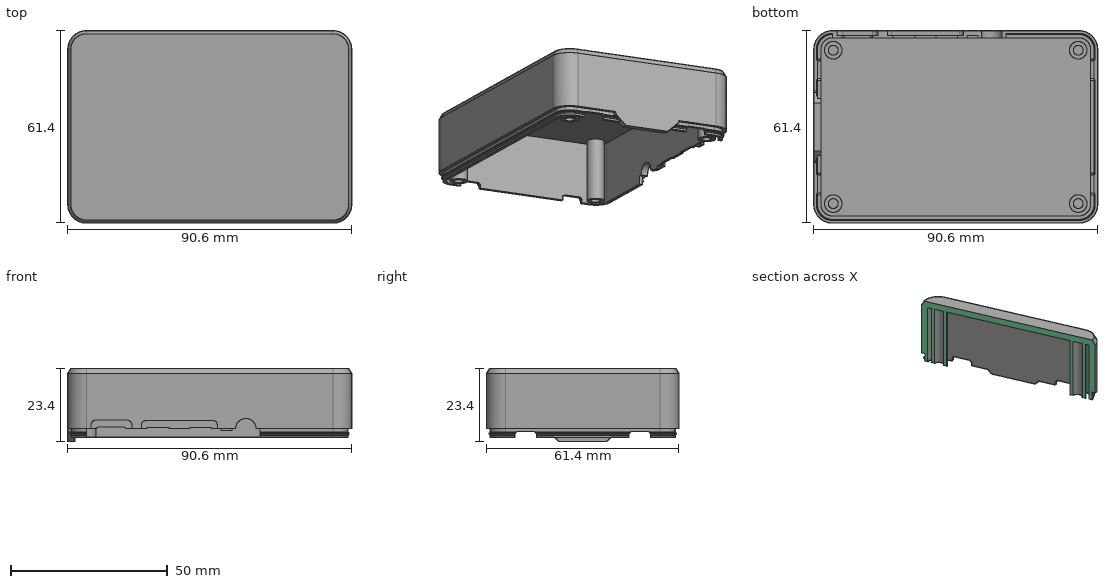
import cadquery as cq
length = 90.6
width = 61.4
height = 23.35

corner_radius = 6.0
top_chamfer_height = 1.65
top_chamfer_inset = 1.0
wall = 2.3
skirt_bottom = 4.1

lip_inset = 1.2
lip_bottom = 1.35
bead_height = 1.0
bead_crest = 0.3
bead_projection = 0.35
bead_middle = 2.5

lip_gap_start = corner_radius - length / 2
lip_gap_end = 15.95

notch_center_y = 18.2
notch_width = 6.9
notch_top = 3.15
notch_chamfer = 0.65

flap_top_half_width = 11.5
flap_shoulder_half_width = 10.9
flap_shoulder_z = 3.0
flap_tip_half_width = 7.6

recess_depth = 1.5
front_recesses = [
    (-37.9, -24.8, 6.9, 1.8),
    (-21.75, 2.4, 6.65, 1.25),
]

web_notches = [
    (-36.2, -26.6, 0.6, 0.65),
    (-19.95, -13.0, 0.33, 0.0),
    (-6.3, 0.6, 0.33, 0.0),
]

round_opening_x = 11.5
round_opening_radius = 3.25
tab_start = 3.55
tab_end = 7.1
tab_drop = 0.65

boss_diameter = 5.6
screw_hole_diameter = 3.15
boss_inset = 6.25

front = -width / 2
left = -length / 2
ceiling = height - wall


def rounded_block(inset, radius, bottom, top):
    """Upright block inset from the outer outline, with rounded corners."""
    block = cq.Workplane("XY").workplane(offset=bottom)
    block = block.rect(length - 2 * inset, width - 2 * inset).extrude(top - bottom)
    return block.edges("|Z").fillet(radius)


def box_between(x_range, y_range, z_range):
    """Plain box spanning the given coordinate ranges."""
    sizes = [end - start for start, end in (x_range, y_range, z_range)]
    corner = (x_range[0], y_range[0], z_range[0])
    return cq.Workplane("XY").box(*sizes, centered=False).translate(corner)


def along_y(points, start, depth):
    """Prism of an XZ outline, running from y = start toward +Y."""
    outline = cq.Workplane("XZ", origin=(0, start, 0)).polyline(points).close()
    return outline.extrude(-depth)


def make_skirt():
    skirt = rounded_block(0, corner_radius, skirt_bottom, height)
    return skirt.faces(">Z").chamfer(top_chamfer_height, top_chamfer_inset)


def make_bead():
    """Tapered ridge: two tapered halves meeting at a flat crest."""
    half_height = bead_height / 2
    bead_flank_height = (bead_height - bead_crest) / 2
    tip_inset = lip_inset - bead_projection
    ridge = rounded_block(tip_inset, corner_radius - tip_inset,
                          bead_middle - half_height, bead_middle + half_height)
    return ridge.faces("<Z or >Z").chamfer(bead_flank_height, bead_projection)


def make_lip():
    lip = rounded_block(lip_inset, corner_radius - lip_inset, lip_bottom, skirt_bottom)
    lip = lip.union(make_bead())
    gap = box_between((lip_gap_start, lip_gap_end), (front, front + wall), (0, skirt_bottom))
    lip = lip.cut(gap)
    for side in (-1, 1):
        lip = lip.cut(end_notch(side * notch_center_y))
    return lip


def end_notch(center_y):
    """Notch running along X through the lips of both end walls."""
    half_width = notch_width / 2
    points = [
        (center_y - half_width, 0),
        (center_y - half_width, notch_top - notch_chamfer),
        (center_y - half_width + notch_chamfer, notch_top),
        (center_y + half_width - notch_chamfer, notch_top),
        (center_y + half_width, notch_top - notch_chamfer),
        (center_y + half_width, 0),
    ]
    return cq.Workplane("YZ", origin=(left, 0, 0)).polyline(points).close().extrude(length)


def make_flap():
    points = [
        (-flap_top_half_width, skirt_bottom),
        (-flap_shoulder_half_width, flap_shoulder_z),
        (-flap_tip_half_width, 0),
        (flap_tip_half_width, 0),
        (flap_shoulder_half_width, flap_shoulder_z),
        (flap_top_half_width, skirt_bottom),
    ]
    return cq.Workplane("YZ", origin=(left, 0, 0)).polyline(points).close().extrude(wall)


def front_recess(start, end, top, radius):
    """Recess in the outer side of the front wall, rounded at its two upper corners."""
    recess = box_between((start, end), (front, front + recess_depth), (0, top))
    return recess.edges("|Y and >Z").fillet(radius)


def round_opening():
    circle = cq.Workplane("XZ", origin=(round_opening_x, front, skirt_bottom))
    return circle.circle(round_opening_radius).extrude(-wall)


def edge_notch(start, end, depth, run):
    """Notch in the lower edge of the web left behind a recess."""
    points = [
        (start, skirt_bottom),
        (start + run, skirt_bottom + depth),
        (end - run, skirt_bottom + depth),
        (end, skirt_bottom),
    ]
    return along_y(points, front + recess_depth, wall - recess_depth)


def make_tab():
    """Small tab under the front wall, flush with its inner side."""
    return box_between((tab_start, tab_end), (front + recess_depth, front + wall),
                       (skirt_bottom - tab_drop, skirt_bottom))


def corner_cylinders(diameter, top):
    """Upright cylinders at the boss positions, rising from the lip's lower edge."""
    base = cq.Plane(origin=(0, 0, lip_bottom), xDir=(-1, 0, 0), normal=(0, 0, 1))
    spacing = (length - 2 * boss_inset, width - 2 * boss_inset)
    centers = cq.Workplane(base).rect(*spacing, forConstruction=True).vertices()
    return centers.circle(diameter / 2).extrude(top - lip_bottom)


cover = make_skirt().union(make_lip())
cover = cover.cut(rounded_block(wall, corner_radius - wall, 0, ceiling))
cover = cover.union(make_flap())
for recess in front_recesses:
    cover = cover.cut(front_recess(*recess))
for notch in web_notches:
    cover = cover.cut(edge_notch(*notch))
cover = cover.cut(round_opening())
cover = cover.union(make_tab())
cover = cover.union(corner_cylinders(boss_diameter, ceiling + wall / 2))
result = cover.cut(corner_cylinders(screw_hole_diameter, ceiling))